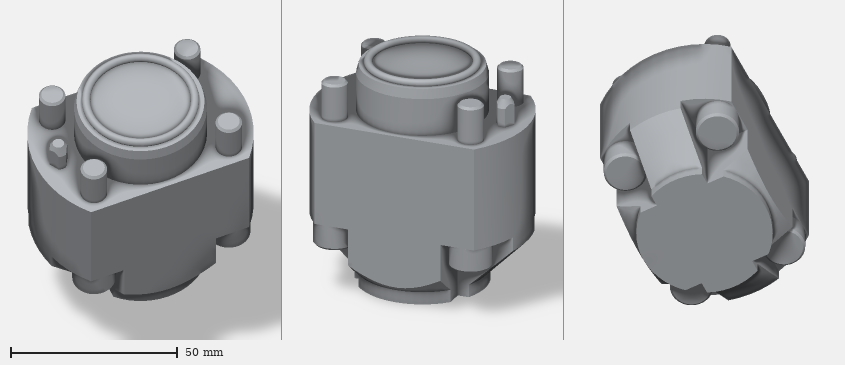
import cadquery as cq
import math

body_width = 44.0
body_diameter = 68.0
body_top = 55.0
foot_diameter = 41.0
foot_height = 4.0

pocket_floor = 21.9
web_half_x = 8.5
web_half_y = 15.0

screw_x = 15.45
screw_y = 22.15
shank_diameter = 8.0
shank_top = 67.0
head_diameter = 13.0
head_bottom = 13.9
screw_chamfer = 0.7

boss_diameter = 40.0
boss_shoulder = 67.0
boss_top = 70.0
boss_top_diameter = 38.4
total_height = 71.9
ring_tube_diameter = 2.5
ring_mean_diameter = 32.7

pin_y = -26.95
pin_diameter = 6.5
pin_tip_diameter = 3.45
pin_top = 63.55
pin_tip_height = 2.6
diamond_half_length = 2.95
diamond_side_angle = 30


def make_body():
    radius = body_diameter / 2
    foot_radius = foot_diameter / 2
    cone_top = foot_height + radius - foot_radius
    profile = [
        (0, 0),
        (foot_radius, 0),
        (foot_radius, foot_height),
        (radius, cone_top),
        (radius, body_top),
        (0, body_top),
    ]
    barrel = cq.Workplane("XZ").polyline(profile).close().revolve(360, (0, 0), (0, 1))
    flats = cq.Workplane("XY").box(body_width, body_diameter, body_top, centered=(True, True, False))
    return barrel.intersect(flats)


def make_pocket(side_x, side_y):
    return (
        cq.Workplane("XY")
        .moveTo(side_x * web_half_x, side_y * web_half_y)
        .lineTo(side_x * body_width, side_y * web_half_y)
        .lineTo(side_x * body_width, side_y * body_diameter)
        .lineTo(side_x * web_half_x, side_y * body_diameter)
        .close()
        .extrude(pocket_floor)
    )


def make_screw(x, y):
    head = (
        cq.Workplane("XY", origin=(x, y, head_bottom))
        .circle(head_diameter / 2)
        .extrude(pocket_floor - head_bottom)
        .faces("<Z")
        .chamfer(screw_chamfer)
    )
    shank = (
        cq.Workplane("XY", origin=(x, y, pocket_floor))
        .circle(shank_diameter / 2)
        .extrude(shank_top - pocket_floor)
        .faces(">Z")
        .chamfer(screw_chamfer)
    )
    return head.union(shank)


def make_boss():
    profile = [
        (0, body_top),
        (boss_diameter / 2, body_top),
        (boss_diameter / 2, boss_shoulder),
        (boss_top_diameter / 2, boss_top),
        (0, boss_top),
    ]
    return cq.Workplane("XZ").polyline(profile).close().revolve(360, (0, 0), (0, 1))


def make_sealing_ring():
    mean_radius = ring_mean_diameter / 2
    tube_radius = ring_tube_diameter / 2
    return (
        cq.Workplane("XZ")
        .center(mean_radius, total_height - tube_radius)
        .circle(tube_radius)
        .revolve(360, (-mean_radius, 0), (-mean_radius, 1))
    )


def make_locating_pin():
    profile = [
        (0, body_top),
        (pin_diameter / 2, body_top),
        (pin_diameter / 2, pin_top - pin_tip_height),
        (pin_tip_diameter / 2, pin_top),
        (0, pin_top),
    ]
    pin = cq.Workplane("XZ").polyline(profile).close().revolve(360, (0, 0), (0, 1))
    diamond_half_width = diamond_half_length / math.tan(math.radians(diamond_side_angle))
    diamond = (
        cq.Workplane("XY", origin=(0, 0, body_top))
        .moveTo(diamond_half_width, 0)
        .lineTo(0, diamond_half_length)
        .lineTo(-diamond_half_width, 0)
        .lineTo(0, -diamond_half_length)
        .close()
        .extrude(pin_top - body_top)
    )
    return pin.intersect(diamond).translate((0, pin_y, 0))


corners = [(side_x, side_y) for side_x in (-1, 1) for side_y in (-1, 1)]

result = make_body()
for side_x, side_y in corners:
    result = result.cut(make_pocket(side_x, side_y))
for side_x, side_y in corners:
    result = result.union(make_screw(side_x * screw_x, side_y * screw_y))
result = result.union(make_boss()).union(make_sealing_ring()).union(make_locating_pin())